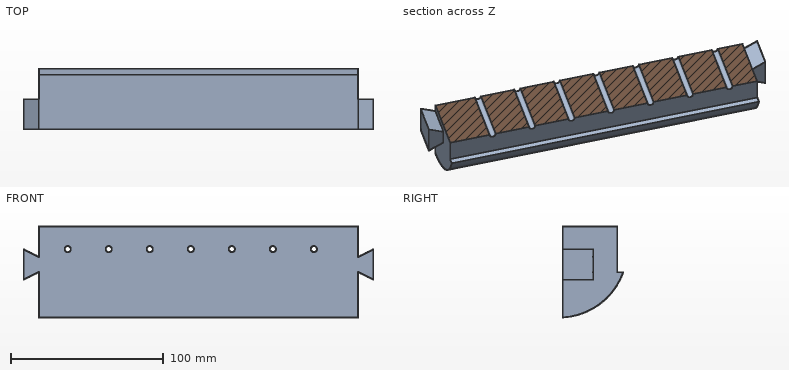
import cadquery as cq
import math

total_length = 230.0
total_depth = 40.0
total_height = 60.0

body_length = 210.0
upper_depth = 36.0
ledge_height = total_height / 2
belly_radius = 45.0

dovetail_width = 20.0
neck_width = dovetail_width / 2
dovetail_depth = 20.0
dovetail_center_z = total_height - 25.0

hole_diameter = 4.0
hole_count = 7
hole_row_length = 162.0
hole_pitch = hole_row_length / (hole_count - 1)
hole_row_center_x = -5.0
hole_z = total_height - 15.0


def make_body():
    chord = math.hypot(total_depth, ledge_height)
    sagitta = belly_radius - math.sqrt(belly_radius**2 - (chord / 2) ** 2)
    arc_middle = (
        total_depth / 2 + sagitta * ledge_height / chord,
        ledge_height / 2 - sagitta * total_depth / chord,
    )
    return (
        cq.Workplane("YZ")
        .moveTo(0, 0)
        .lineTo(0, total_height)
        .lineTo(upper_depth, total_height)
        .lineTo(upper_depth, ledge_height)
        .lineTo(total_depth, ledge_height)
        .threePointArc(arc_middle, (0, 0))
        .close()
        .extrude(body_length / 2, both=True)
    )


def make_dovetail(side):
    """Dovetail on the -X end (side = -1) or the +X end (side = 1)."""
    root_x = side * body_length / 2
    tip_x = side * total_length / 2
    outline = [
        (root_x, dovetail_center_z - neck_width / 2),
        (tip_x, dovetail_center_z - dovetail_width / 2),
        (tip_x, dovetail_center_z + dovetail_width / 2),
        (root_x, dovetail_center_z + neck_width / 2),
    ]
    return cq.Workplane("XZ").polyline(outline).close().extrude(-dovetail_depth)


def make_holes():
    return (
        cq.Workplane("XZ")
        .center(hole_row_center_x, hole_z)
        .rarray(hole_pitch, 2.3, hole_count, 1)
        .circle(hole_diameter / 2)
        .extrude(-total_depth)
    )


result = make_body()
for side in (-1, 1):
    result = result.union(make_dovetail(side))
result = result.cut(make_holes())